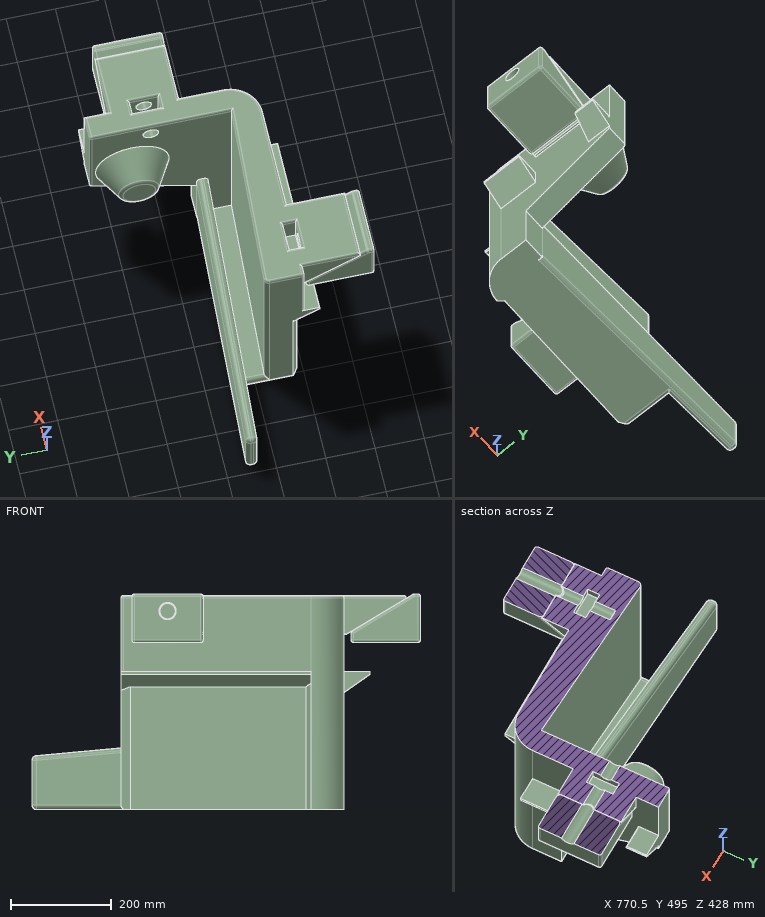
import cadquery as cq
import math


FRONT_LENGTH = 442.5
SIDE_LENGTH = 348.0
WALL_TOP = 425.0
SIDE_THICKNESS = 50.0
CORNER_RADIUS = 65.5
FRONT_THICKNESS = 81.0
INNER_SLOPE = math.tan(math.radians(3.1))
REAR_EDGE_BOTTOM = 223.0
REAR_SLOPE = math.tan(math.radians(22.2))
EDGE_RADIUS = 5.0

SIDE_INNER_X = FRONT_LENGTH - SIDE_THICKNESS

FLOOR_THICKNESS = 21.0
PLATE_LEFT = -176.5
PLATE_THICKNESS = 23.0
PLATE_REAR_Y = 159.0
PLATE_SLOPE = math.tan(math.radians(2.85))
PLATE_LEFT_HEIGHT = 106.5
PLATE_RISE = 0.092
TRAY_RADIUS = 9.0

LEDGE_TOP = 274.5
LEDGE_TIP = 6.0
FRONT_LEDGE_REACH = 31.0
FRONT_LEDGE_SLOPE = math.tan(math.radians(30))
SIDE_LEDGE_REACH = 52.0
SIDE_LEDGE_SLOPE = math.tan(math.radians(35))
SIDE_LEDGE_EMBED = 8.0
NOTCH_DRAFT = math.tan(math.radians(13))
NOTCH_OVERLAP = 5.5

PANEL_DEPTH = 11.5
PANEL_CHAMFER_WIDTH = 18.5
PANEL_CHAMFER_DEPTH = 24.0
PANEL_STEP_WIDTH = 10.0
PANEL_RIGHT = FRONT_LENGTH - CORNER_RADIUS

ARM_WIDTH = 142.0
ARM_LENGTH = 119.0
ARM_ROOT_BOTTOM = 348.0
WEDGE_SLOPE = math.tan(math.radians(31))
ARM_EMBED = 23.0
WEDGE_NEAR = 9.0
WEDGE_FAR = 147.0
WEDGE_BOTTOM = 331.5
WEDGE_TOP = 428.0
WEDGE_RADIUS = 5.5
FRONT_ARM_X = 92.5
SIDE_ARM_Y = 227.0
SIDE_ARM_DATUM = 447.0

HOLE_Z = 394.0
ARM_HOLE_DIAMETER = 31.0
ARM_HOLE_DEPTH = 62.0
WEDGE_HOLE_DIAMETER = 34.0
SIDE_HOLE_SHIFT = -3.0
POCKET_WIDTH = 58.5
POCKET_THICKNESS = 26.0
POCKET_Y = 4.0
POCKET_FLOOR = 366.0

CONE_Y = 261.0
CONE_Z = 275.0
CONE_BASE_RADIUS = 75.0
CONE_TIP_RADIUS = 38.5
CONE_HEIGHT = 63.0
CONE_TIP_FILLET = 9.0


def to_side(shape, along_y):
    """Turn a shape from the arm frame so that it points to +X, centred at the given Y."""
    return shape.rotate((0, 0, 0), (0, 0, 1), 90).translate((SIDE_ARM_DATUM, along_y, 0))


def to_front(shape):
    """Move a shape from the arm frame to the front wall."""
    return shape.translate((FRONT_ARM_X, 0, 0))


def arm_profile(points, width):
    """Extrude (distance from wall, height) points symmetrically along X."""
    outline = [(-distance, height) for distance, height in points]
    return cq.Workplane("YZ").polyline(outline).close().extrude(width / 2, both=True)


def underside(distance):
    """Height of the arm's underside at a distance from the wall."""
    return ARM_ROOT_BOTTOM + WEDGE_SLOPE * distance


def make_arm():
    """Arm with a flat top and a sloping underside."""
    return arm_profile(
        [
            (-ARM_EMBED, ARM_ROOT_BOTTOM),
            (0, ARM_ROOT_BOTTOM),
            (ARM_LENGTH, underside(ARM_LENGTH)),
            (ARM_LENGTH, WALL_TOP),
            (-ARM_EMBED, WALL_TOP),
        ],
        ARM_WIDTH,
    )


def bolt_hole(diameter, x, start_y, end_y):
    """Cylinder along Y at the height of the bolts."""
    return (
        cq.Workplane("XZ", origin=(x, end_y, HOLE_Z))
        .circle(diameter / 2)
        .extrude(end_y - start_y)
    )


def make_wedge(hole_x):
    """Wedge block whose slope lies against the underside of the arm."""
    flat_start = (WEDGE_TOP - ARM_ROOT_BOTTOM) / WEDGE_SLOPE
    wedge = arm_profile(
        [
            (WEDGE_NEAR, WEDGE_BOTTOM),
            (WEDGE_FAR, WEDGE_BOTTOM),
            (WEDGE_FAR, WEDGE_TOP),
            (flat_start, WEDGE_TOP),
            (WEDGE_NEAR, underside(WEDGE_NEAR)),
        ],
        ARM_WIDTH,
    )
    wedge = wedge.edges().fillet(WEDGE_RADIUS)
    return wedge.cut(bolt_hole(WEDGE_HOLE_DIAMETER, hole_x, -WEDGE_FAR, 0))


def make_bolt_cavity(x):
    """Nut pocket open at the top and the bolt hole that crosses it."""
    pocket = (
        cq.Workplane("XY", origin=(x, POCKET_Y, POCKET_FLOOR))
        .rect(POCKET_WIDTH, POCKET_THICKNESS)
        .extrude(WALL_TOP - POCKET_FLOOR)
    )
    return pocket.union(bolt_hole(ARM_HOLE_DIAMETER, x, -ARM_LENGTH, ARM_HOLE_DEPTH))


def plate_rear(x):
    return PLATE_REAR_Y - PLATE_SLOPE * (x - PLATE_LEFT)


def plate_top(x):
    return PLATE_LEFT_HEIGHT + PLATE_RISE * (x - PLATE_LEFT)


def make_front_wall():
    corner = CORNER_RADIUS * (1 - math.sqrt(0.5))
    return (
        cq.Workplane("XY")
        .moveTo(0, 0)
        .lineTo(FRONT_LENGTH - CORNER_RADIUS, 0)
        .threePointArc((FRONT_LENGTH - corner, corner), (FRONT_LENGTH, CORNER_RADIUS))
        .lineTo(SIDE_INNER_X, CORNER_RADIUS)
        .lineTo(SIDE_INNER_X, FRONT_THICKNESS - INNER_SLOPE * SIDE_INNER_X)
        .lineTo(0, FRONT_THICKNESS)
        .close()
        .extrude(WALL_TOP)
    )


def make_side_wall():
    foot_y = plate_rear(SIDE_INNER_X)
    foot_z = REAR_EDGE_BOTTOM - REAR_SLOPE * (SIDE_LENGTH - foot_y)
    return (
        cq.Workplane("YZ", origin=(SIDE_INNER_X, 0, 0))
        .polyline(
            [
                (CORNER_RADIUS, 0),
                (foot_y, 0),
                (foot_y, foot_z),
                (SIDE_LENGTH, REAR_EDGE_BOTTOM),
                (SIDE_LENGTH, WALL_TOP),
                (CORNER_RADIUS, WALL_TOP),
            ]
        )
        .close()
        .extrude(SIDE_THICKNESS)
    )


def make_plate():
    right = SIDE_INNER_X
    outline = [
        (PLATE_LEFT, plate_rear(PLATE_LEFT)),
        (PLATE_LEFT, plate_rear(PLATE_LEFT) - PLATE_THICKNESS),
        (right, plate_rear(right) - PLATE_THICKNESS),
        (right, plate_rear(right)),
    ]
    upright = cq.Workplane("XY").polyline(outline).close().extrude(WALL_TOP)
    side = (
        cq.Workplane("XZ")
        .polyline([(PLATE_LEFT, 0), (right, 0), (right, plate_top(right)), (PLATE_LEFT, PLATE_LEFT_HEIGHT)])
        .close()
        .extrude(-SIDE_LENGTH)
    )
    plate = upright.intersect(side)
    return plate.edges("not(>X)").fillet(TRAY_RADIUS)


def make_floor():
    middle = PLATE_THICKNESS / 2
    return (
        cq.Workplane("XY")
        .polyline(
            [
                (0, PANEL_CHAMFER_DEPTH),
                (SIDE_INNER_X, PANEL_CHAMFER_DEPTH),
                (SIDE_INNER_X, plate_rear(SIDE_INNER_X) - middle),
                (0, plate_rear(0) - middle),
            ]
        )
        .close()
        .extrude(FLOOR_THICKNESS)
    )


def ledge_section(reach, slope, depth):
    """Ledge section as (distance from the outer face, height) points, starting inside the wall."""
    root = LEDGE_TOP - LEDGE_TIP - slope * (reach + depth)
    return [(-depth, LEDGE_TOP), (reach, LEDGE_TOP), (reach, LEDGE_TOP - LEDGE_TIP), (-depth, root)]


def make_front_ledge():
    section = ledge_section(FRONT_LEDGE_REACH, FRONT_LEDGE_SLOPE, PANEL_CHAMFER_DEPTH)
    outline = [(-distance, height) for distance, height in section]
    return cq.Workplane("YZ").polyline(outline).close().extrude(PANEL_RIGHT)


def make_side_ledge():
    """Ledge of the side wall, with a notch under the arm."""
    section = ledge_section(SIDE_LEDGE_REACH, SIDE_LEDGE_SLOPE, SIDE_LEDGE_EMBED)
    outline = [(FRONT_LENGTH + distance, height) for distance, height in section]
    ledge = (
        cq.Workplane("XZ", origin=(0, CORNER_RADIUS, 0))
        .polyline(outline)
        .close()
        .extrude(CORNER_RADIUS - SIDE_LENGTH)
    )
    arm_front = SIDE_ARM_Y - ARM_WIDTH / 2
    arm_rear = SIDE_ARM_Y + ARM_WIDTH / 2
    notch_rear = arm_rear + NOTCH_OVERLAP
    notch_depth = LEDGE_TIP + SIDE_LEDGE_SLOPE * SIDE_LEDGE_REACH
    notch = (
        cq.Workplane("YZ", origin=(FRONT_LENGTH, 0, 0))
        .polyline(
            [
                (arm_front, LEDGE_TOP),
                (notch_rear, LEDGE_TOP),
                (notch_rear - NOTCH_DRAFT * notch_depth, LEDGE_TOP - notch_depth),
                (arm_front, LEDGE_TOP - notch_depth),
            ]
        )
        .close()
        .extrude(SIDE_LEDGE_REACH)
    )
    return ledge.cut(notch)


def make_panel_cut():
    """Material removed in front of the recessed panel."""
    return (
        cq.Workplane("XY")
        .polyline(
            [
                (0, 0),
                (PANEL_RIGHT, 0),
                (PANEL_RIGHT - PANEL_STEP_WIDTH, PANEL_DEPTH),
                (PANEL_CHAMFER_WIDTH, PANEL_DEPTH),
                (0, PANEL_CHAMFER_DEPTH),
            ]
        )
        .close()
        .extrude(LEDGE_TOP)
    )


def make_cone():
    cone = (
        cq.Workplane("XY")
        .polyline([(0, 0), (0, CONE_BASE_RADIUS), (-CONE_HEIGHT, CONE_TIP_RADIUS), (-CONE_HEIGHT, 0)])
        .close()
        .revolve(360, (0, 0, 0), (1, 0, 0))
    )
    cone = cone.faces("<X").edges().fillet(CONE_TIP_FILLET)
    return cone.translate((SIDE_INNER_X, CONE_Y, CONE_Z))


def fillet_at(body, points, radius):
    """Fillet the edges whose middles lie nearest to the given points, one after another."""
    for point in points:
        body = body.edges(cq.NearestToPointSelector(point)).fillet(radius)
    return body


def make_walls():
    floor_middle = (FRONT_THICKNESS + plate_rear(0)) / 2
    walls = make_front_wall().union(make_side_wall()).union(make_floor())
    left_edges = [
        (0, FRONT_THICKNESS, WALL_TOP / 2),
        (0, floor_middle, FLOOR_THICKNESS),
        (0, floor_middle / 2, 0),
    ]
    walls = fillet_at(walls, left_edges, TRAY_RADIUS)
    walls = walls.cut(make_panel_cut())
    fine_edges = [
        (0, 0, (LEDGE_TOP + WALL_TOP) / 2),
        (SIDE_INNER_X, SIDE_LENGTH, (REAR_EDGE_BOTTOM + WALL_TOP) / 2),
    ]
    return fillet_at(walls, fine_edges, EDGE_RADIUS)


def make_bracket():
    bracket = make_walls().union(to_front(make_arm())).union(to_side(make_arm(), SIDE_ARM_Y))
    bracket = bracket.cut(to_front(make_bolt_cavity(0)))
    bracket = bracket.cut(to_side(make_bolt_cavity(SIDE_HOLE_SHIFT), SIDE_ARM_Y))
    bracket = bracket.faces(">Z").edges().fillet(EDGE_RADIUS)
    bracket = bracket.union(make_front_ledge()).union(make_side_ledge())
    return bracket.union(make_plate()).union(make_cone())


bracket = make_bracket().solids()
front_wedge = to_front(make_wedge(0)).solids()
side_wedge = to_side(make_wedge(SIDE_HOLE_SHIFT), SIDE_ARM_Y).solids()

result = cq.Compound.makeCompound([bracket.val(), front_wedge.val(), side_wedge.val()])